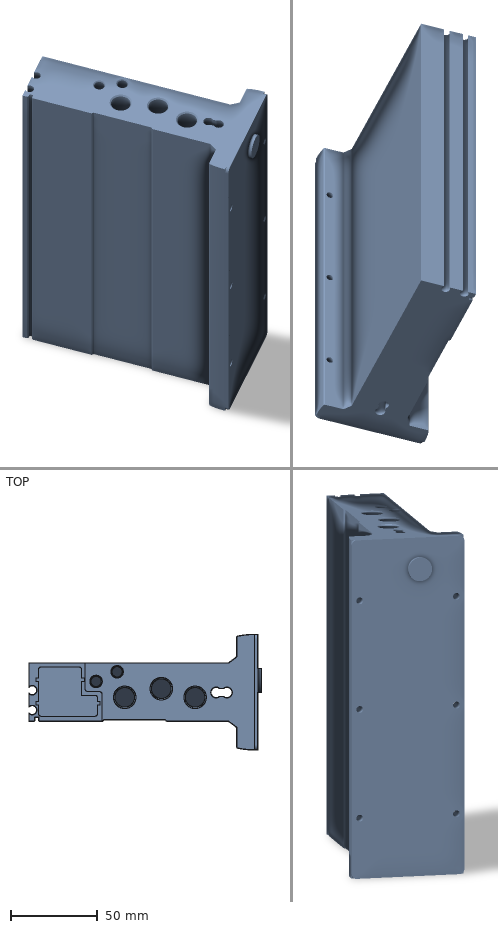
import cadquery as cq

length = 199.4
half_depth = 17.0

profile_long = 42.3
profile_short = 32.5
profile_step_y = 0.4
profile_fillet = 1.5
cable_slot_diameter = 5.2
cable_slot_x = 2.0
cable_slot_ys = (1.1, -10.4)
notch_x = 4.5
notch_width = 2.2
notch_depth = 2.4
notch_chamfer = 0.5

core_left = 5.5
core_short = 30.5
core_long = 39.7
core_top = 14.5
core_step_y = -1.8
core_bottom = -14.0
core_fillet = 1.5
left_key_reach = 1.4
right_key_reach = 1.5
key_width = 2.2
upper_key_y = 7.2
lower_key_y = -6.4

recess_start_x = 42.5
recess_end_x = 79.8
recess_depth = 1.0
flare_start_x = 115.5
flare_y = 20.3
flange_x = 120.0
flange_end_x = 130.5
flange_land = 0.8
flange_half_width = 33.4
flange_edge_drop = 1.0
flange_chamfer = 0.5

large_port_diameter = 11.4
large_port_mouth = 13.0
large_port_points = [(55.5, -3.0), (76.5, 2.0), (96.1, -3.0)]
small_port_diameter = 6.0
small_port_mouth = 7.2
small_port_points = [(38.9, 6.2), (51.0, 11.8)]
port_depth = 20.0

eyelet_diameter = 6.0
eyelet_xs = (108.3, 114.5)
eyelet_y = -0.2
eyelet_neck = 4.4

plate_thickness = 2.0
plate_end_x = flange_end_x + plate_thickness
plate_corner_radius = 2.8
knob_end_x = 134.5
knob_diameter = 14.0
knob_y = 6.8
knob_z = 181.0

screw_diameter = 4.0
screw_y = 28.7
screw_pitch = 64.0


def extrude_outline(points):
    """Extrude a closed XY polygon over the full length."""
    return cq.Workplane("XY").polyline(points).close().extrude(length)


def vertical_edge_near(x, y):
    return cq.selectors.NearestToPointSelector((x, y, length / 2))


def make_keys(face_points, reach):
    """Rectangular keys centred on the faces of the core, standing out of them by the reach."""
    return cq.Workplane("XY").pushPoints(face_points).rect(2 * reach, key_width).extrude(length)


def make_core():
    bar = extrude_outline([
        (core_left, core_bottom),
        (core_long, core_bottom),
        (core_long, core_step_y),
        (core_short, core_step_y),
        (core_short, core_top),
        (core_left, core_top),
    ])
    outer_corners = cq.StringSyntaxSelector("|Z") - vertical_edge_near(core_short, core_step_y)
    bar = bar.edges(outer_corners).fillet(core_fillet)
    left_keys = make_keys([(core_left, upper_key_y), (core_left, lower_key_y)], left_key_reach)
    right_keys = make_keys([(core_short, upper_key_y), (core_long, lower_key_y)], right_key_reach)
    return bar.union(left_keys).union(right_keys)


def make_profile_blank():
    """Solid envelope of the profile, also used to cut its seat in the housing."""
    blank = extrude_outline([
        (0, -half_depth),
        (profile_long, -half_depth),
        (profile_long, profile_step_y),
        (profile_short, profile_step_y),
        (profile_short, half_depth),
        (0, half_depth),
    ])
    for x in (profile_short, profile_long):
        blank = blank.edges(vertical_edge_near(x, profile_step_y)).fillet(profile_fillet)
    return blank


def make_cable_slots():
    points = [(cable_slot_x, y) for y in cable_slot_ys]
    return cq.Workplane("XY").pushPoints(points).circle(cable_slot_diameter / 2).extrude(length)


def make_notch():
    half_width = notch_width / 2
    half_mouth = half_width + notch_chamfer
    floor_y = notch_depth - half_depth
    chamfer_y = notch_chamfer - half_depth
    return extrude_outline([
        (notch_x - half_mouth, -half_depth),
        (notch_x + half_mouth, -half_depth),
        (notch_x + half_width, chamfer_y),
        (notch_x + half_width, floor_y),
        (notch_x - half_width, floor_y),
        (notch_x - half_width, chamfer_y),
    ])


def make_profile(blank, core):
    return blank.cut(core).cut(make_cable_slots()).cut(make_notch())


def make_screw_holes():
    points = [
        (side * screw_y, length / 2 + row * screw_pitch)
        for side in (-1, 1)
        for row in (-1, 0, 1)
    ]
    return cq.Workplane("YZ").pushPoints(points).circle(screw_diameter / 2).extrude(knob_end_x)


def make_ports(points, diameter, mouth):
    """Blind bores from the top face, each with a 45 degree countersink."""
    return (
        cq.Workplane("XY", origin=(0, 0, length - port_depth))
        .pushPoints(points)
        .circle(diameter / 2)
        .extrude(port_depth)
        .union(
            cq.Workplane("XY", origin=(0, 0, length))
            .pushPoints(points)
            .circle(mouth / 2)
            .extrude((diameter - mouth) / 2, taper=45)
        )
    )


def make_eyelet():
    first_x, last_x = eyelet_xs
    neck = (
        cq.Workplane("XY")
        .center((first_x + last_x) / 2, eyelet_y)
        .rect(last_x - first_x, eyelet_neck)
        .extrude(length)
    )
    points = [(x, eyelet_y) for x in eyelet_xs]
    return cq.Workplane("XY").pushPoints(points).circle(eyelet_diameter / 2).extrude(length).union(neck)


def make_web():
    """Web from the profile step to the flare, with a shallow recess along its -Y side."""
    recess_y = recess_depth - half_depth
    return extrude_outline([
        (profile_short, half_depth),
        (flare_start_x, half_depth),
        (flare_start_x, -half_depth),
        (recess_end_x, -half_depth),
        (recess_end_x - recess_depth, recess_y),
        (recess_start_x + recess_depth, recess_y),
        (recess_start_x, -half_depth),
        (profile_short, -half_depth),
    ])


def make_flange():
    """Flared flange whose two narrow sides bulge and end tangent to short flat lands."""
    corner_x = flange_x + flange_chamfer
    corner_y = flange_half_width - flange_edge_drop
    bulge_end_x = flange_end_x - flange_land
    half = (
        cq.Workplane("XY")
        .moveTo(flare_start_x, 0)
        .lineTo(flare_start_x, half_depth)
        .lineTo(flange_x, flare_y)
        .lineTo(flange_x, corner_y - flange_chamfer)
        .lineTo(corner_x, corner_y)
        .threePointArc(
            ((corner_x + bulge_end_x) / 2, flange_half_width - flange_edge_drop / 4),
            (bulge_end_x, flange_half_width),
        )
        .lineTo(flange_end_x, flange_half_width)
        .lineTo(flange_end_x, 0)
        .close()
        .extrude(length)
    )
    return half.union(half.mirror("XZ")).clean()


def make_housing(profile_blank):
    return (
        make_web()
        .cut(profile_blank)
        .union(make_flange())
        .cut(make_ports(large_port_points, large_port_diameter, large_port_mouth))
        .cut(make_ports(small_port_points, small_port_diameter, small_port_mouth))
        .cut(make_eyelet())
        .cut(make_screw_holes())
    )


def make_cover():
    plate = (
        cq.Workplane("YZ", origin=(flange_end_x, 0, length / 2))
        .rect(2 * flange_half_width, length)
        .extrude(plate_thickness)
        .edges("|X")
        .fillet(plate_corner_radius)
    )
    knob = (
        cq.Workplane("YZ", origin=(plate_end_x, knob_y, knob_z))
        .circle(knob_diameter / 2)
        .extrude(knob_end_x - plate_end_x)
    )
    return plate.union(knob).cut(make_screw_holes())


core = make_core()
profile_blank = make_profile_blank()
profile = make_profile(profile_blank, core)
housing = make_housing(profile_blank)
cover = make_cover()

result = cq.Compound.makeCompound([body.solids().val() for body in (housing, profile, core, cover)])